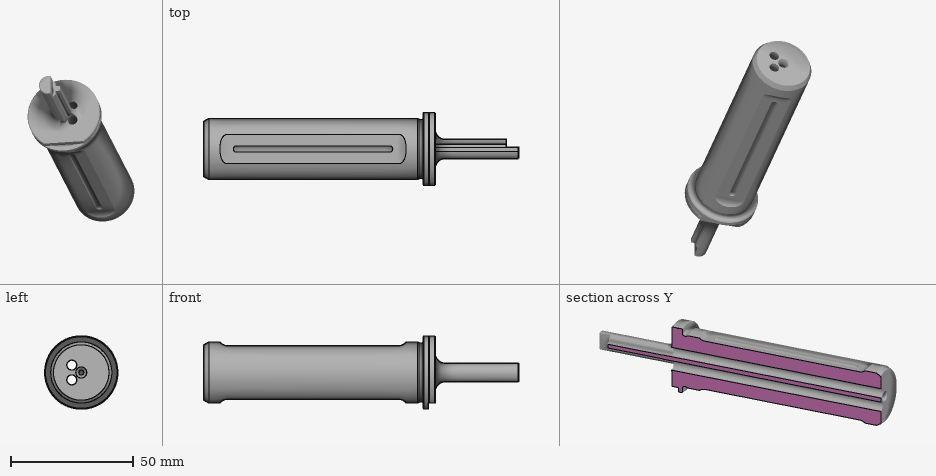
import cadquery as cq
import math

body_end = 87.6
flange_start = 89.8
rim_split = 92.0
flange_end = 94.8
step_end = 124.0
total_length = 129.0

body_radius = 12.5
nose_length = 2.0
nose_drop = 1.2
nose_radius = body_radius - nose_drop

neck_radius = 12.1
neck_taper = 0.6
neck_fillet = 0.5

flange_diameter = 30.0
flange_radius = flange_diameter / 2
flange_chamfer = 0.4
rim_groove_width = 0.4
rim_groove_depth = 0.1

stem_radius = 4.0
stem_fillet = 4.0
stem_chamfer = 0.4
stem_flat_height = 3.9
bevel_start_y = 0.6
channel_wall_y = 2.0
step_y = 0.9

flat_height = 11.0
flat_start = 9.8
flat_end = 79.7
runout_radius = 4.0

groove_radius = 1.3
groove_start = 12.1
groove_end = 77.4

bore_diameter = 4.0
bore_y = 3.9
bore_spacing = 6.0
bore_z = bore_spacing / 2
center_mouth_diameter = 4.5
center_mouth_radius = center_mouth_diameter / 2
center_drill_radius = 1.0
center_drill_depth = 2.6
center_cone_half_angle = 30
drill_tip_half_angle = 59


def cone_height(radius, half_angle):
    """Height of a cone over which its radius falls by the given amount."""
    return radius / math.tan(math.radians(half_angle))


def box_between(x0, x1, y0, y1, z0, z1):
    return cq.Workplane("XY").box(x1 - x0, y1 - y0, z1 - z0, centered=False).translate((x0, y0, z0))


def mirrored_pair(shape):
    """The shape together with its mirror image below the XY plane."""
    return shape.union(shape.mirror("XY"))


def turned_body():
    """Barrel, neck, flange and round stem, revolved about the X axis."""
    arc_mid = stem_fillet * math.sqrt(0.5)
    fillet_x = flange_end + stem_fillet
    fillet_r = stem_radius + stem_fillet
    neck_x = flange_start - neck_fillet
    neck_mid = neck_fillet * math.sqrt(0.5)
    groove_floor = flange_radius - rim_groove_depth
    profile = (
        cq.Workplane("XY")
        .lineTo(0, nose_radius)
        .lineTo(nose_length, body_radius)
        .lineTo(body_end, body_radius)
        .lineTo(body_end + neck_taper, neck_radius)
        .lineTo(neck_x, neck_radius)
        .threePointArc(
            (neck_x + neck_mid, neck_radius + neck_fillet - neck_mid),
            (flange_start, neck_radius + neck_fillet),
        )
        .lineTo(flange_start, flange_radius - flange_chamfer)
        .lineTo(flange_start + flange_chamfer, flange_radius)
        .lineTo(rim_split, flange_radius)
        .lineTo(rim_split, groove_floor)
        .lineTo(rim_split + rim_groove_width, groove_floor)
        .lineTo(rim_split + rim_groove_width, flange_radius)
        .lineTo(flange_end - flange_chamfer, flange_radius)
        .lineTo(flange_end, flange_radius - flange_chamfer)
        .lineTo(flange_end, fillet_r)
        .threePointArc((fillet_x - arc_mid, fillet_r - arc_mid), (fillet_x, stem_radius))
        .lineTo(total_length - stem_chamfer, stem_radius)
        .lineTo(total_length, stem_radius - stem_chamfer)
        .lineTo(total_length, 0)
        .close()
    )
    return profile.revolve(360, (0, 0, 0), (1, 0, 0))


def barrel_flats():
    """Cutters for both flats; each end runs out along a concave arc."""
    top = flat_height + runout_radius
    mid = runout_radius * math.sqrt(0.5)
    cutter = (
        cq.Workplane("XZ")
        .moveTo(flat_start, flat_height)
        .lineTo(flat_end, flat_height)
        .threePointArc((flat_end + mid, top - mid), (flat_end + runout_radius, top))
        .lineTo(flat_start - runout_radius, top)
        .threePointArc((flat_start - mid, top - mid), (flat_start, flat_height))
        .close()
        .extrude(body_radius, both=True)
    )
    return mirrored_pair(cutter)


def flat_grooves():
    """Cutters for the half-round grooves with spherical ends."""
    first = groove_start + groove_radius
    last = groove_end - groove_radius
    mid = groove_radius * math.sqrt(0.5)
    half_outline = (
        cq.Workplane("XY", origin=(0, 0, flat_height))
        .moveTo(groove_start, 0)
        .threePointArc((first - mid, mid), (first, groove_radius))
        .lineTo(last, groove_radius)
        .threePointArc((last + mid, mid), (groove_end, 0))
        .close()
    )
    cutter = half_outline.revolve(360, (0, 0, 0), (1, 0, 0))
    return mirrored_pair(cutter)


def stem_reliefs():
    """Cutters leaving the stem with two flats, bevels and a central web on the +Y side."""
    flat_edge = math.sqrt(stem_radius**2 - stem_flat_height**2)
    web_top = bore_z - bore_diameter / 2
    bevel_drop = channel_wall_y - bevel_start_y
    outside = stem_radius + stem_fillet
    relief = (
        cq.Workplane("YZ", origin=(flange_end, 0, 0))
        .polyline([
            (-flat_edge, stem_flat_height),
            (bevel_start_y, stem_flat_height),
            (channel_wall_y, stem_flat_height - bevel_drop),
            (channel_wall_y, web_top),
            (bore_y, web_top),
            (bore_y, outside),
            (-flat_edge, outside),
        ])
        .close()
        .extrude(total_length - flange_end)
    )
    return mirrored_pair(relief)


def stem_step():
    """Cutter that ends the +Y side of the stem short of the tip."""
    return box_between(step_end, total_length, step_y, stem_radius, -stem_radius, stem_radius)


def flange_flat():
    """Cutter for the flat at the bottom of the rear part of the flange, level with the barrel."""
    return box_between(rim_split, flange_end, -flange_radius, flange_radius, -flange_radius, -body_radius)


def through_bores():
    """Cutter for the two parallel bores running the whole length on the +Y side."""
    return (
        cq.Workplane("YZ")
        .pushPoints([(bore_y, bore_z), (bore_y, -bore_z)])
        .circle(bore_diameter / 2)
        .extrude(total_length)
    )


def center_hole():
    """Cutter for the centre-drilled hole in the barrel end face."""
    cone_depth = cone_height(center_mouth_radius - center_drill_radius, center_cone_half_angle)
    drill_end = cone_depth + center_drill_depth
    tip_end = drill_end + cone_height(center_drill_radius, drill_tip_half_angle)
    return (
        cq.Workplane("XY")
        .polyline([
            (0, 0),
            (0, center_mouth_radius),
            (cone_depth, center_drill_radius),
            (drill_end, center_drill_radius),
            (tip_end, 0),
        ])
        .close()
        .revolve(360, (0, 0, 0), (1, 0, 0))
    )


result = (
    turned_body()
    .cut(barrel_flats())
    .cut(flat_grooves())
    .cut(flange_flat())
    .cut(through_bores())
    .cut(stem_reliefs())
    .cut(stem_step())
    .cut(center_hole())
)